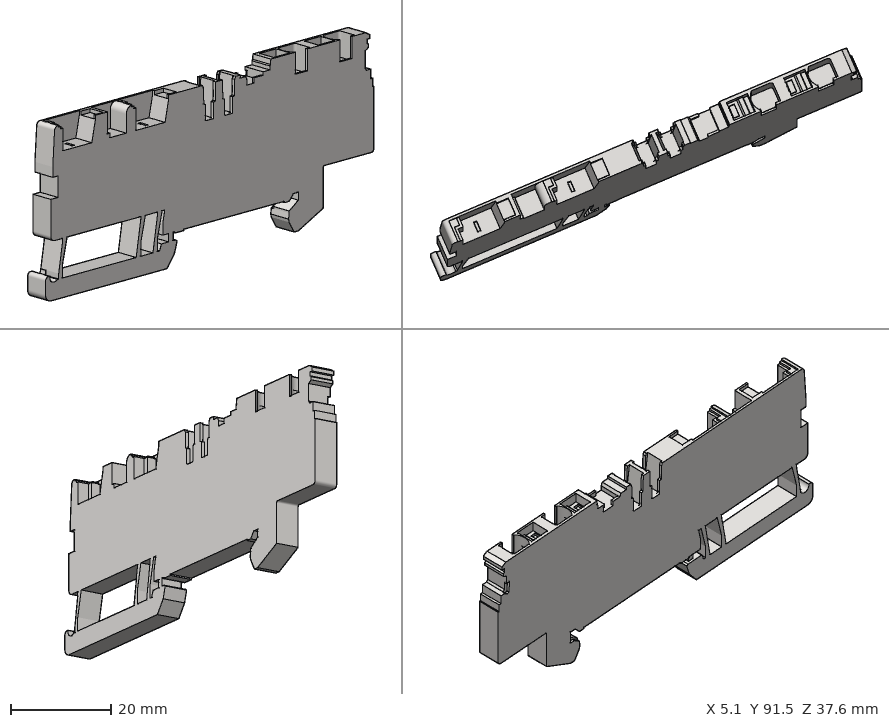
import cadquery as cq

width = 5.1
length = 91.5
height = 37.6

deck = 36.1
shoulder = 35.4
marker_rim = 34.7
marker_floor = 33.6
body_base = 12.4
belly = 7.2
slot_floor = 28.6
rail_top = 4.1

near_wall = 0.55
far_wall = 0.5
far_inner = width - far_wall

high_top_start = 62.8
recess_start = 60.6
recess_end = 56.2
upper_end = 2.6
low_end = 2.0
base_end = 1.5
hook_back = 77.4

slot_pitch = 5.3
slot_edges = [49.4 - i * slot_pitch for i in range(2)]
slot_top_width = 3.2
slot_step = 0.5
slot_step_height = 32.1
chamber_wall = 0.7

funnel_pitch = 12.45
funnel_start = 86.5
funnel_length = 5.4
funnel_depth = 5.5
gap_length = 3.3
gap_depth = 4.6
button_start = 81.0
button_length = 4.6
button_near = 0.7

bay_pitch = 20.4
bay_start = 34.3
bay_depth = 5.5
window_length = 2.6
window_depth = 0.8
window_near = 1.0
ledge_jog = 2.7
ledge_setback = 1.1
slit_near = 1.8
slit_far = 3.9
slit_width = 0.6
slit_depth = 0.9

leg_positions = [31.2, 26.55, 4.8]
leg_lean = 1.3
relief_near = 1.5
post_start = 34.3
post_end = 35.6
heel_top = 5.5


def extrude_profile(points, x_start=0.0, x_end=width):
    """Prism along X from a closed (Y, Z) outline."""
    return cq.Workplane("YZ").workplane(offset=x_start).polyline(points).close().extrude(x_end - x_start)


def block(x_start, x_end, y_start, y_end, z_start, z_end):
    """Box between two corner positions."""
    size = (x_end - x_start, y_end - y_start, z_end - z_start)
    return cq.Workplane("XY").box(*size, centered=False).translate((x_start, y_start, z_start))


def round_corner(body, y, z, radius):
    """Fillet the edge along X that passes through (y, z)."""
    return body.edges(cq.selectors.NearestToPointSelector((width / 2, y, z))).fillet(radius)


def housing():
    """Main body with the fixed rail hook, without pockets."""
    body = extrude_profile([
        (length, body_base), (length, 26.0), (91.3, 26.0), (91.3, 27.7), (90.7, 27.7), (90.7, 29.75),
        (89.5, 29.75), (89.2, 30.2), (89.2, 33.9), (90.1, 34.4), (90.1, 35.1), (89.7, 35.3), (89.7, 36.2),
        (90.4, 36.2), (90.4, 37.0), (89.3, height), (high_top_start, height),
        (62.7, 36.5), (62.5, 36.25), (62.5, shoulder), (recess_start, shoulder), (recess_start, marker_rim),
        (recess_end, marker_rim), (55.8, shoulder), (54.3, shoulder), (54.3, deck),
        (upper_end, deck), (low_end, 27.7), (low_end, 25.6), (3.5, 25.6), (3.5, 21.1),
        (base_end, 21.1), (base_end, body_base), (33.2, body_base), (32.7, 9.6), (32.7, belly),
        (36.0, belly), (36.0, 7.0), (38.5, 7.0), (38.5, belly),
        (66.55, belly), (66.55, 7.0), (67.9, 7.0), (69.1, 8.3), (70.5, 8.3), (70.5, 5.5), (69.4, 5.5),
        (67.9, 4.5), (67.7, 3.3), (67.9, 2.6), (69.3, 0.3), (70.5, 0.3),
        (hook_back, 3.6), (hook_back, body_base),
    ])
    body = round_corner(body, length, body_base, 0.7)
    body = round_corner(body, hook_back, body_base, 0.4)
    body = round_corner(body, base_end, body_base, 1.1)
    return round_corner(body, upper_end, deck, 0.9)


def jumper_slot(edge):
    """Stepped slot through both walls, with a wider tapered chamber between them."""
    far_edge = edge + slot_top_width
    low_near = edge + slot_step
    low_far = far_edge - slot_step
    slot = extrude_profile([
        (edge - 0.1, deck), (edge, slot_step_height), (low_near, slot_step_height - 0.2),
        (low_near, slot_floor), (low_far, slot_floor),
        (low_far, slot_step_height - 0.2), (far_edge, slot_step_height), (far_edge + 0.1, deck),
    ])
    slot = slot.edges("|X and <Z").fillet(0.3)
    chamber = extrude_profile(
        [(edge - 0.7, deck), (low_near - 0.2, slot_floor),
         (low_far + 0.2, slot_floor), (far_edge + 0.5, deck)],
        near_wall, width - chamber_wall)
    return slot.union(chamber)


def slot_lead_in(edge, outward, run=0.4, drop=0.7):
    """Wedge that bevels the deck corner at a slot edge; outward is +1 or -1 along Y."""
    return extrude_profile([(edge, deck - drop), (edge + outward * run, deck), (edge, deck)])


def marker_recess():
    """Shallow pocket with opposite halves of its two side walls removed."""
    wall_split = 58.1
    floor = block(near_wall, far_inner, recess_end, recess_start, marker_floor, marker_rim)
    near_gap = block(0, near_wall, wall_split, recess_start + 0.3, marker_floor, marker_rim)
    far_gap = block(far_inner, width, recess_end, wall_split, marker_floor, marker_rim)
    return floor.union(near_gap).union(far_gap)


def wire_funnel(start):
    """Round-ended wire entry with a gap through the +X wall."""
    end = start - funnel_length
    arc_rise = 0.8
    floor = height - funnel_depth
    middle = (near_wall + far_inner) / 2
    funnel = (
        cq.Workplane("XY").workplane(offset=floor)
        .moveTo(near_wall, end + arc_rise)
        .threePointArc((middle, end), (far_inner, end + arc_rise))
        .lineTo(far_inner, start)
        .lineTo(near_wall, start)
        .close().extrude(funnel_depth)
    )
    funnel = funnel.edges("|Z").edges("<X and >Y").fillet(0.55)
    gap_start = start - 1.1
    gap = block(far_inner, width, gap_start - gap_length, gap_start, height - gap_depth, height)
    return funnel.union(gap)


def button_opening(start):
    """Opening around a stepped release button."""
    end = start - button_length
    depth = 2.75
    floor = height - depth
    opening = extrude_profile(
        [(start, height), (start, floor), (start - 0.9, floor), (start - 1.1, floor + 1.1),
         (start - 2.0, floor + 1.1), (start - 2.4, floor + 0.55), (end, floor + 0.55), (end, height)],
        button_near, far_inner)
    dimple = block(1.3, 3.8, end + 0.3, end + 1.5, floor, height)
    return opening.union(dimple)


def terminal_bay(start):
    """Side-open bay: sloped entry, stepped ledge at its far end, window and small driver slit."""
    floor = deck - bay_depth
    floor_start = start - 1.0
    ledge = start - 8.0
    end = start - 10.2
    bay = extrude_profile(
        [(start, deck), (start, deck - window_depth), (floor_start, floor), (end, floor), (end, deck)],
        near_wall)
    for level, reach in ((deck - 0.8, 0.0), (deck - 0.4, 0.55)):
        ledge_start = ledge - reach
        jog = ledge_jog - reach
        near_half = block(near_wall, jog, end, ledge_start, floor, level)
        far_half = block(jog, width, end, ledge_start - ledge_setback, floor, level)
        bay = bay.cut(near_half).cut(far_half)
    window = block(window_near, far_inner, start, start + window_length, deck - window_depth, deck)
    slit_start = start - 4.7
    slit = block(slit_near, slit_far, slit_start - slit_width, slit_start, floor - slit_depth, floor)
    return bay.union(window).union(slit)


def middle_bay():
    """Side-open bay between the two terminals, with a rounded rib edge and a low ledge."""
    rib_start = 24.1
    rib_edge = 22.5
    end = 17.3
    floor = deck - bay_depth
    rib_rounding = rib_start - rib_edge
    bay = (
        cq.Workplane("YZ").workplane(offset=near_wall)
        .moveTo(rib_start, deck)
        .radiusArc((rib_edge, deck - rib_rounding), -rib_rounding)
        .lineTo(rib_edge, floor)
        .lineTo(end, floor)
        .lineTo(end, deck)
        .close().extrude(width - near_wall)
    )
    return bay.cut(block(near_wall, width, end, end + 0.7, floor, floor + 0.9))


def spring_foot():
    """Sliding foot below the housing, without its legs."""
    tip = 5.2
    foot = extrude_profile([
        (0, 0), (0, tip), (3.6, tip), (4.8, rail_top),
        (31.8, rail_top), (32.3, heel_top), (36.3, heel_top), (36.7, tip), (36.0, 2.75), (33.9, 0),
    ])
    foot = round_corner(foot, 0, 0, 1.6)
    foot = round_corner(foot, 0, tip, 0.8)
    groove = cq.Workplane("YZ").center(2.4, 4.9).circle(1.2).extrude(width)
    return foot.cut(groove)


def spring_leg(y):
    """Thin slanted leg joining the foot to the housing."""
    return extrude_profile([
        (y, body_base), (y, 11.8), (y - leg_lean, rail_top), (y, rail_top),
        (y, 7.0), (y + leg_lean, body_base),
    ])


result = housing().union(spring_foot())
for leg_y in leg_positions:
    result = result.union(spring_leg(leg_y))
result = result.cut(block(relief_near, width, 3.3, 3.7, rail_top, 5.4))
result = result.union(block(near_wall, width, post_start, post_end, heel_top, belly))
hook_filler = [(70.5, 5.5), (70.5, 6.7), (67.9, 4.9), (67.9, 4.5), (69.4, 5.5)]
result = result.union(extrude_profile(hook_filler, near_wall))

for slot_edge in slot_edges:
    result = result.cut(jumper_slot(slot_edge))
result = result.cut(slot_lead_in(slot_edges[0] + slot_top_width, 1))
result = result.cut(slot_lead_in(slot_edges[1], -1))
result = result.cut(marker_recess())
for i in range(2):
    shift = i * funnel_pitch
    result = result.cut(wire_funnel(funnel_start - shift))
    result = result.cut(button_opening(button_start - shift))
    result = result.cut(terminal_bay(bay_start - i * bay_pitch))
result = result.cut(middle_bay())
latch_recess = [(89.5, 29.6), (88.9, 29.2), (88.4, 29.4), (88.2, 31.95), (89.5, 31.95)]
result = result.cut(extrude_profile(latch_recess, 0, near_wall))